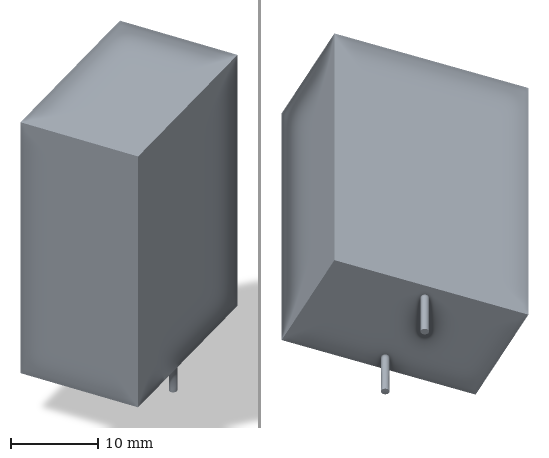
import cadquery as cq

width = 15.25
depth = 24.15
height = 39.4

pin_diameter = 1.0
pin_length = 5.15
pin_spacing = 11.42

case_height = height - pin_length


def make_case():
    """Plain rectangular case standing on the XY plane."""
    return cq.Workplane("XY").box(width, depth, case_height, centered=(True, True, False))


def make_pin(x):
    """Round pin hanging from the underside of the case."""
    return cq.Workplane("XY").center(x, 0).circle(pin_diameter / 2).extrude(-pin_length)


case = make_case()
pins = [make_pin(side * pin_spacing / 2) for side in (-1, 1)]

result = cq.Compound.makeCompound([case.val(), *[pin.val() for pin in pins]])